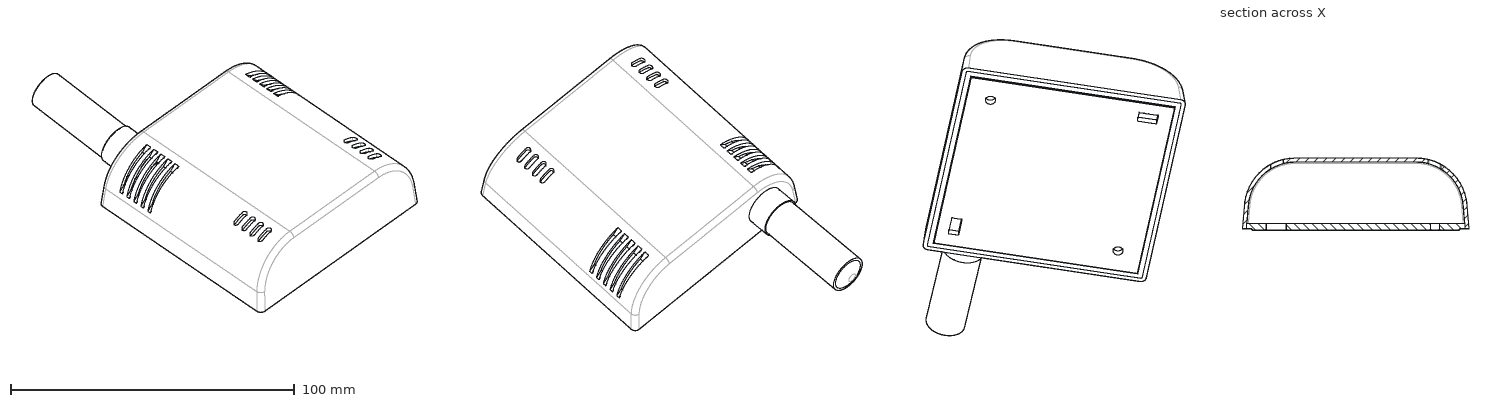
import cadquery as cq
import math

HOUSING_SIDE = 80.0
HOUSING_HEIGHT = 25.0
DRAFT = math.radians(5)
ROOF_RADIUS = 18.0
EDGE_RADIUS = 2.0
WALL = 1.5

PLUG_HEIGHT = 2.0
FOOT_SIDE = 73.3
FOOT_DEPTH = 0.5
FOOT_CHAMFER = 0.2
MOUNT_OFFSET = 28.0
MOUNT_HOLE_DIAMETER = 3.5
OPENING_WIDTH = 3.7
OPENING_LENGTH = 6.9
OPENING_OFFSET = 30.3

LONG_VENT_COUNT = 5
LONG_VENT_PITCH = 3.5
LONG_VENT_CENTRE_X = -23.2
LONG_VENT_TILT = math.radians(46)
LONG_VENT_FLOOR_RADIUS = 15.1
LONG_VENT_TOP_WIDTH = 2.0
LONG_VENT_LOW_WIDTH = 1.2
LONG_VENT_LENGTH = 21.0

SHORT_VENT_COUNT = 4
SHORT_VENT_PITCH = 4.0
SHORT_VENT_CENTRE_X = 23.9
SHORT_VENT_CENTRE_Y = 27.7
SHORT_VENT_LENGTH = 6.0
SHORT_VENT_WIDTH = 2.0

PROBE_Y = -24.0
PROBE_WALL_HEIGHT = 13.0
COLLAR_DIAMETER = 15.0
COLLAR_LENGTH = 8.0
TUBE_DIAMETER = 14.0
TUBE_LENGTH = 34.8
DOME_EDGE_DIAMETER = 12.0
DOME_SPHERE_DIAMETER = 18.1
TIP_DIAMETER = 3.2

HALF_SIDE = HOUSING_SIDE / 2
ROOF_CENTRE_Z = HOUSING_HEIGHT - ROOF_RADIUS
ROOF_CENTRE_Y = HALF_SIDE - ROOF_CENTRE_Z * math.tan(DRAFT) - ROOF_RADIUS / math.cos(DRAFT)


def housing_form(inset):
    """Solid with the housing's shape, every face except the underside moved in by inset."""
    foot = HALF_SIDE - inset / math.cos(DRAFT)
    height = HOUSING_HEIGHT - inset
    radius = ROOF_RADIUS - inset
    seam = (ROOF_CENTRE_Y + radius * math.cos(DRAFT), ROOF_CENTRE_Z + radius * math.sin(DRAFT))
    middle_angle = (DRAFT + math.pi / 2) / 2
    middle = (
        ROOF_CENTRE_Y + radius * math.cos(middle_angle),
        ROOF_CENTRE_Z + radius * math.sin(middle_angle),
    )
    cross_section = (
        cq.Workplane("YZ")
        .moveTo(-foot, 0)
        .lineTo(foot, 0)
        .lineTo(*seam)
        .threePointArc(middle, (ROOF_CENTRE_Y, height))
        .lineTo(-ROOF_CENTRE_Y, height)
        .threePointArc((-middle[0], middle[1]), (-seam[0], seam[1]))
        .close()
        .extrude(HALF_SIDE, both=True)
    )
    top = foot - height * math.tan(DRAFT)
    side_profile = (
        cq.Workplane("XZ")
        .polyline([(-foot, 0), (foot, 0), (top, height), (-top, height)])
        .close()
        .extrude(HALF_SIDE, both=True)
    )
    form = cross_section.intersect(side_profile)
    return form.faces("<X or >X").edges("not <Z").fillet(EDGE_RADIUS - inset)


def both_sides(cutters):
    """The cutters of the +Y side together with their mirror images on the -Y side."""
    return cutters.union(cutters.mirror("XZ"))


def row(count, pitch, centre):
    """Positions of count equally spaced items around a centre."""
    return [centre + (i - (count - 1) / 2) * pitch for i in range(count)]


def long_vents():
    outward = (0, math.cos(LONG_VENT_TILT), math.sin(LONG_VENT_TILT))
    floor_y = ROOF_CENTRE_Y + LONG_VENT_FLOOR_RADIUS * outward[1]
    floor_z = ROOF_CENTRE_Z + LONG_VENT_FLOOR_RADIUS * outward[2]
    half_length = LONG_VENT_LENGTH / 2
    half_top = LONG_VENT_TOP_WIDTH / 2
    half_low = LONG_VENT_LOW_WIDTH / 2
    outline = [
        (-half_top, -half_length),
        (half_top, -half_length),
        (half_low, half_length),
        (-half_low, half_length),
    ]
    cutters = cq.Workplane("XY")
    for x in row(LONG_VENT_COUNT, LONG_VENT_PITCH, LONG_VENT_CENTRE_X):
        floor = cq.Plane(origin=(x, floor_y, floor_z), xDir=(1, 0, 0), normal=outward)
        cutters = cutters.add(cq.Workplane(floor).polyline(outline).close().extrude(ROOF_RADIUS))
    return both_sides(cutters.combine())


def short_vents():
    places = [
        (x, SHORT_VENT_CENTRE_Y)
        for x in row(SHORT_VENT_COUNT, SHORT_VENT_PITCH, SHORT_VENT_CENTRE_X)
    ]
    cutters = (
        cq.Workplane("XY")
        .workplane(offset=ROOF_CENTRE_Z)
        .pushPoints(places)
        .slot2D(SHORT_VENT_LENGTH, SHORT_VENT_WIDTH, 90)
        .extrude(ROOF_RADIUS)
    )
    return both_sides(cutters)


def probe_plane():
    """Plane on the outer -X wall: local X runs outwards along the probe, local Y runs upwards."""
    wall_x = -HALF_SIDE + PROBE_WALL_HEIGHT * math.tan(DRAFT)
    return cq.Plane(
        origin=(wall_x, PROBE_Y, PROBE_WALL_HEIGHT),
        xDir=(-math.cos(DRAFT), 0, math.sin(DRAFT)),
        normal=(0, 1, 0),
    )


def make_probe():
    """Revolved probe whose collar passes through the wall and ends flush inside."""
    collar_radius = COLLAR_DIAMETER / 2
    tube_radius = TUBE_DIAMETER / 2
    dome_edge = DOME_EDGE_DIAMETER / 2
    dome_radius = DOME_SPHERE_DIAMETER / 2
    tip_edge = TIP_DIAMETER / 2
    tube_end = COLLAR_LENGTH + TUBE_LENGTH
    dome_centre = tube_end - math.sqrt(dome_radius**2 - dome_edge**2)

    def dome_point(radius):
        return (dome_centre + math.sqrt(dome_radius**2 - radius**2), radius)

    tip = dome_point(tip_edge)
    return (
        cq.Workplane(probe_plane())
        .moveTo(-WALL, 0)
        .lineTo(-WALL, collar_radius)
        .lineTo(COLLAR_LENGTH, collar_radius)
        .lineTo(COLLAR_LENGTH, tube_radius)
        .lineTo(tube_end, tube_radius)
        .lineTo(tube_end, dome_edge)
        .threePointArc(dome_point((dome_edge + tip_edge) / 2), tip)
        .lineTo(tip[0], 0)
        .close()
        .revolve(360, (0, 0), (1, 0))
    )


def make_base(cavity):
    """Plate that fills the bottom of the cavity, with its foot and mounting openings."""
    plug_block = cq.Workplane("XY").rect(HOUSING_SIDE, HOUSING_SIDE).extrude(PLUG_HEIGHT)
    foot = (
        cq.Workplane("XY")
        .rect(FOOT_SIDE, FOOT_SIDE)
        .extrude(-FOOT_DEPTH)
        .faces("<Z")
        .chamfer(FOOT_CHAMFER)
    )
    plate = cavity.intersect(plug_block).union(foot)

    underside = cq.Workplane("XY").workplane(offset=-FOOT_DEPTH)
    depth = FOOT_DEPTH + PLUG_HEIGHT
    round_holes = (
        underside.pushPoints([(MOUNT_OFFSET, -MOUNT_OFFSET), (-MOUNT_OFFSET, MOUNT_OFFSET)])
        .circle(MOUNT_HOLE_DIAMETER / 2)
        .extrude(depth)
    )
    front_opening = (
        underside.center(-MOUNT_OFFSET, -OPENING_OFFSET)
        .rect(OPENING_LENGTH, OPENING_WIDTH)
        .extrude(depth)
    )
    rear_opening = (
        underside.center(OPENING_OFFSET, MOUNT_OFFSET)
        .rect(OPENING_WIDTH, OPENING_LENGTH)
        .extrude(depth)
    )
    return plate.cut(round_holes).cut(front_opening).cut(rear_opening)


cavity = housing_form(WALL)
probe = make_probe()
base = make_base(cavity)
housing = housing_form(0).cut(cavity).cut(long_vents()).cut(short_vents()).cut(probe)

result = cq.Compound.makeCompound([housing.solids().val(), base.solids().val(), probe.val()])